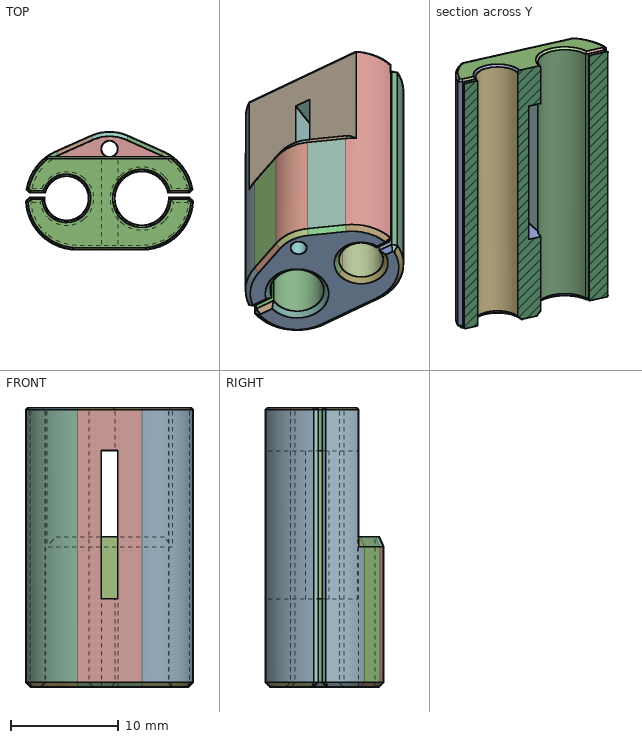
import cadquery as cq
import math

height = 26.0
corner_radius = 4.8
corner_spread = 3.0
back_flat_y = 3.88

lug_height = 14.0
lug_radius = 4.2
lug_tip_y = 6.2
lug_center_y = lug_tip_y - lug_radius
lug_chamfer_depth = 0.42
lug_chamfer_height = 0.92
lug_hole_diameter = 1.5
lug_hole_y = 4.6
lug_hole_wall = 0.1

bores = [(-4.0, 4.1), (3.0, 5.0)]

slit_width = 0.4
slit_y = 0.3
slit_mouth_depth = 0.4

slot_width = 1.5
slot_bottom = 8.2
slot_top = 22.0

top_chamfer = 0.2
bottom_chamfer = 0.45

cut_margin = 1.0
half_width = corner_spread + corner_radius


def make_profile():
    """Rounded body outline whose back tapers along tangents to the lug tip."""
    center_distance = math.hypot(corner_spread, lug_center_y)
    tangent_angle = (math.atan2(lug_center_y, corner_spread)
                     - math.asin((corner_radius - lug_radius) / center_distance))
    normal_x = math.sin(tangent_angle)
    normal_y = math.cos(tangent_angle)
    shoulder_x = corner_spread + corner_radius * normal_x
    shoulder_y = corner_radius * normal_y
    tip_x = lug_radius * normal_x
    tip_y = lug_center_y + lug_radius * normal_y
    return (
        cq.Workplane("XY")
        .moveTo(-corner_spread, -corner_radius)
        .lineTo(corner_spread, -corner_radius)
        .threePointArc((half_width, 0), (shoulder_x, shoulder_y))
        .lineTo(tip_x, tip_y)
        .threePointArc((0, lug_tip_y), (-tip_x, tip_y))
        .lineTo(-shoulder_x, shoulder_y)
        .threePointArc((-half_width, 0), (-corner_spread, -corner_radius))
        .close()
    )


def make_lug():
    """Full outline up to the lug top, with its steep top chamfer."""
    lug = make_profile().extrude(lug_height)
    top_edges = lug.faces(">Z").edges()
    return top_edges.chamfer(lug_chamfer_height, lug_chamfer_depth)


def make_body():
    """Full-height body, cut flat at the back."""
    behind_flat = (
        cq.Workplane("XY")
        .box(2 * half_width, lug_tip_y, height, centered=(True, False, False))
        .translate((0, back_flat_y, 0))
    )
    return make_profile().extrude(height).cut(behind_flat)


def cut_bores_and_slits(part):
    """Cut the two bores and the slits from each bore to its side."""
    for bore_x, diameter in bores:
        bore = cq.Workplane("XY").center(bore_x, 0).circle(diameter / 2).extrude(height)
        slit_length = half_width - abs(bore_x) + cut_margin
        slit_x = math.copysign(abs(bore_x) + slit_length / 2, bore_x)
        slit = (
            cq.Workplane("XY")
            .center(slit_x, slit_y)
            .rect(slit_length, slit_width)
            .extrude(height)
        )
        part = part.cut(bore).cut(slit)
    return part


def flare_slit_mouths(part):
    """Flare the outer end of each slit with 45 degree flanks."""
    inner_x = half_width - slit_mouth_depth
    flare_length = slit_mouth_depth + cut_margin
    outer_x = inner_x + flare_length
    inner_half = slit_width / 2
    outer_half = inner_half + flare_length
    for side in (-1, 1):
        flare = (
            cq.Workplane("XY")
            .moveTo(side * inner_x, slit_y - inner_half)
            .lineTo(side * outer_x, slit_y - outer_half)
            .lineTo(side * outer_x, slit_y + outer_half)
            .lineTo(side * inner_x, slit_y + inner_half)
            .close()
            .extrude(height)
        )
        part = part.cut(flare)
    return part


def make_slot_section(bottom, top, back_y):
    """Slot-wide block from the front face to the given back plane."""
    depth = corner_radius + back_y
    return (
        cq.Workplane("XY")
        .box(slot_width, depth, top - bottom, centered=(True, False, False))
        .translate((0, -corner_radius, bottom))
    )


def cut_slot(part):
    """Cut the front slot: through above the lug, stopping short of the hole behind it."""
    pocket_back_y = lug_hole_y - lug_hole_diameter / 2 - lug_hole_wall
    through_section = make_slot_section(lug_height, slot_top, back_flat_y)
    pocket_section = make_slot_section(slot_bottom, lug_height, pocket_back_y)
    return part.cut(through_section).cut(pocket_section)


def cut_lug_hole(part):
    """Drill the vertical hole through the lug."""
    hole = (
        cq.Workplane("XY")
        .center(0, lug_hole_y)
        .circle(lug_hole_diameter / 2)
        .extrude(lug_height)
    )
    return part.cut(hole)


result = make_body().union(make_lug())
result = cut_bores_and_slits(result)
result = flare_slit_mouths(result)
result = result.faces(">Z").edges().chamfer(top_chamfer)
result = result.faces("<Z").edges().chamfer(bottom_chamfer)
result = cut_slot(result)
result = cut_lug_hole(result)